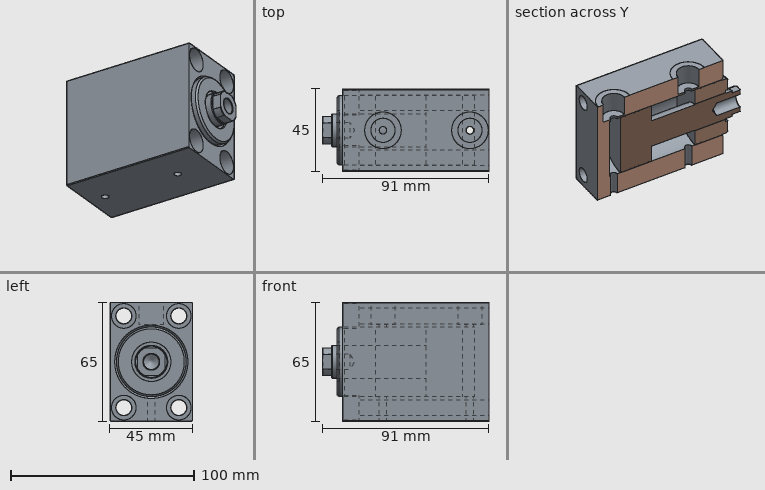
import cadquery as cq
import math


LENGTH = 80.0
WIDTH = 45.0
HEIGHT = 65.0
EDGE_CHAMFER = 0.5

BORE_DIA = 38.0
MOUTH_CHAMFER = 1.0
BORE_DEPTH = 72.0

BOLT_PITCH_Y = 30.0
BOLT_PITCH_Z = 50.05
BOLT_DIA = 8.55
HEAD_DIA = 13.5
HEAD_DEPTH = 9.0

FRONT_PORT_X = 22.0
REAR_PORT_X = 69.5
SPOT_FACE_DIA = 20.0
SPOT_FACE_DEPTH = 0.1
PORT_DIA = 13.2
PORT_DEPTH = 12.0
OIL_HOLE_DIA = 4.1

GLAND_PROTRUSION = 3.1
GLAND_INSERTION = 18.0
GLAND_CHAMFER_LENGTH = 1.1
GLAND_CHAMFER_HEIGHT = 1.0
WIPER_RECESS_DIA = 21.5
WIPER_RECESS_DEPTH = 1.5

ROD_DIA = 18.0
COLLAR_LENGTH = 2.9
COLLAR_CHAMFER = 0.5
TIP_LENGTH = 5.0
TIP_DIA = 17.2
TIP_CHAMFER = 0.3
TIP_FLATS = 15.2
PISTON_START = 45.5
PISTON_LENGTH = 20.0

THREAD_DIA = 8.5
THREAD_CHAMFER = 0.4
THREAD_DEPTH = 15.0
DRILL_POINT_ANGLE = 118

GLAND_FRONT = -GLAND_PROTRUSION
COLLAR_FRONT = GLAND_FRONT - COLLAR_LENGTH
TIP_FRONT = COLLAR_FRONT - TIP_LENGTH


def rod_along_x(start, length, diameter):
    """Solid cylinder on the X axis."""
    return cq.Workplane("YZ", origin=(start, 0, 0)).circle(diameter / 2).extrude(length)


def cut_bore(body):
    bore = rod_along_x(0, BORE_DEPTH, BORE_DIA)
    mouth = cq.Workplane("XY").polyline([
        (0, 0),
        (0, BORE_DIA / 2 + MOUTH_CHAMFER),
        (MOUTH_CHAMFER, BORE_DIA / 2),
        (MOUTH_CHAMFER, 0),
    ]).close().revolve(360, (0, 0, 0), (1, 0, 0))
    return body.cut(bore).cut(mouth)


def cut_bolt_holes(body):
    centres = cq.Workplane("YZ").rect(BOLT_PITCH_Y, BOLT_PITCH_Z, forConstruction=True).vertices()
    through_holes = centres.circle(BOLT_DIA / 2).extrude(LENGTH)
    head_recesses = centres.circle(HEAD_DIA / 2).extrude(HEAD_DEPTH)
    return body.cut(through_holes).cut(head_recesses)


def cut_port(body, x):
    """Spot-faced port whose oil hole crosses the bore and leaves through the bottom face."""
    top = cq.Workplane("XY", origin=(x, 0, HEIGHT / 2))
    spot_face = top.circle(SPOT_FACE_DIA / 2).extrude(-SPOT_FACE_DEPTH)
    port = top.circle(PORT_DIA / 2).extrude(-PORT_DEPTH)
    oil_hole = top.circle(OIL_HOLE_DIA / 2).extrude(-HEIGHT)
    return body.cut(spot_face).cut(port).cut(oil_hole)


def make_housing():
    body = cq.Workplane("YZ").rect(WIDTH, HEIGHT).extrude(LENGTH)
    body = body.edges("|X").chamfer(EDGE_CHAMFER)
    body = cut_bore(body)
    body = cut_bolt_holes(body)
    for x in (FRONT_PORT_X, REAR_PORT_X):
        body = cut_port(body, x)
    return body


def make_gland():
    """Ring with a chamfered nose, a clearance recess in front and a sliding fit on the rod."""
    outer = BORE_DIA / 2
    recess_floor = GLAND_FRONT + WIPER_RECESS_DEPTH
    half_section = cq.Workplane("XY").polyline([
        (GLAND_FRONT, WIPER_RECESS_DIA / 2),
        (GLAND_FRONT, outer - GLAND_CHAMFER_HEIGHT),
        (GLAND_FRONT + GLAND_CHAMFER_LENGTH, outer),
        (GLAND_INSERTION, outer),
        (GLAND_INSERTION, ROD_DIA / 2),
        (recess_floor, ROD_DIA / 2),
        (recess_floor, WIPER_RECESS_DIA / 2),
    ]).close()
    return half_section.revolve(360, (0, 0, 0), (1, 0, 0))


def make_tip():
    """Round end with four flats, chamfered on its round stretches."""
    tip = rod_along_x(TIP_FRONT, TIP_LENGTH, TIP_DIA).faces("<X").chamfer(TIP_CHAMFER)
    square = cq.Workplane("YZ", origin=(TIP_FRONT, 0, 0)).rect(TIP_FLATS, TIP_FLATS).extrude(TIP_LENGTH)
    return tip.intersect(square)


def cut_thread_hole(body):
    """Blind hole with a chamfered mouth and a conical drill point."""
    radius = THREAD_DIA / 2
    point_length = radius / math.tan(math.radians(DRILL_POINT_ANGLE / 2))
    hole_end = TIP_FRONT + THREAD_DEPTH
    hole = cq.Workplane("XY").polyline([
        (TIP_FRONT, 0),
        (TIP_FRONT, radius + THREAD_CHAMFER),
        (TIP_FRONT + THREAD_CHAMFER, radius),
        (hole_end, radius),
        (hole_end + point_length, 0),
    ]).close().revolve(360, (0, 0, 0), (1, 0, 0))
    return body.cut(hole)


def make_piston_rod():
    shaft = rod_along_x(COLLAR_FRONT, PISTON_START - COLLAR_FRONT, ROD_DIA)
    shaft = shaft.faces("<X").chamfer(COLLAR_CHAMFER)
    piston = rod_along_x(PISTON_START, PISTON_LENGTH, BORE_DIA)
    return cut_thread_hole(shaft.union(piston).union(make_tip()))


housing = make_housing()
gland = make_gland()
piston_rod = make_piston_rod()

result = cq.Compound.makeCompound([housing.val(), gland.val(), piston_rod.val()])